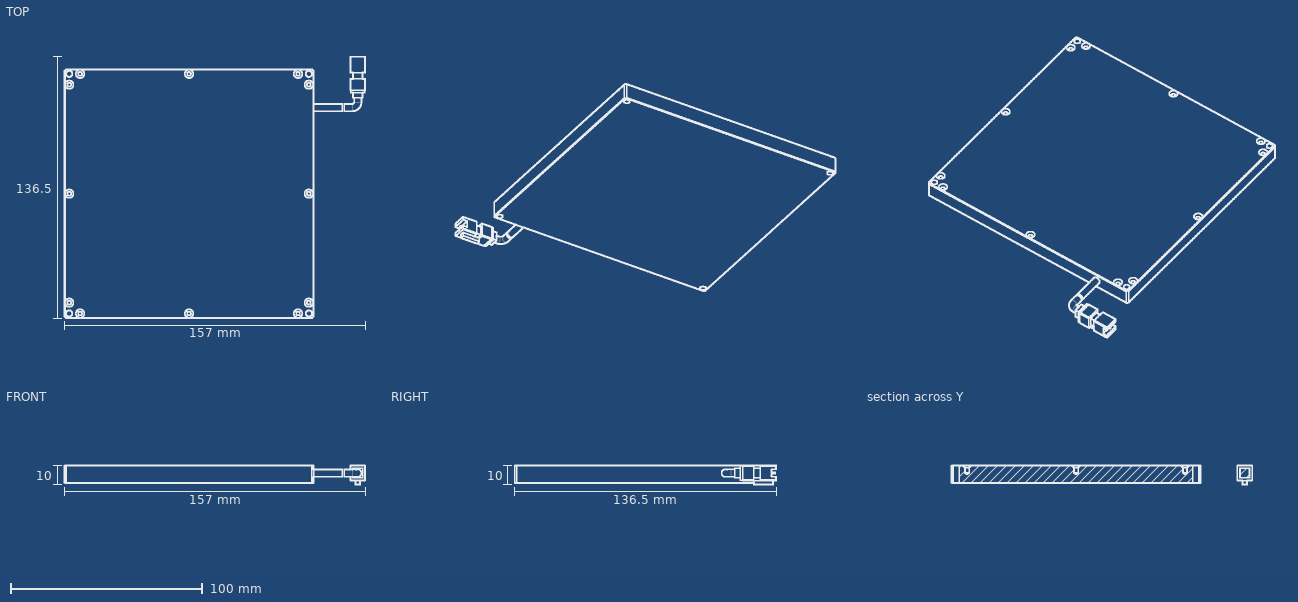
import cadquery as cq
import math

housing_size = 130.0
housing_height = 9.3
housing_half = housing_size / 2
corner_chamfer = 1.0
rim_bevel = 0.3

hole_inset = 2.5
mount_hole_diameter = 3.1
screw_corner_gap = 5.7
screw_hole_diameter = 2.0
screw_sink_diameter = 4.4
screw_sink_angle = 90
screw_hole_depth = 4.0
drill_point_angle = 118

overall_length = 157
overall_width = 136.5
overall_height = 10.0
connector_size = 8.0
connector_bevel = 0.4
connector_end_y = overall_width - housing_half
connector_axis_x = overall_length - housing_half - connector_size / 2
axis_z = housing_height - connector_size / 2

cable_diameter = 4.0
cable_y = 44.9
stub_length = 14.9
cable_gap = 1.0
bend_radius = 2.8

socket_length = 8.3
neck_length = 3.3
plug_length = 6.0
flange_length = 1.1
boot_length = 2.8
neck_size = 5.0
flange_size = 7.4
boot_size = 5.0

slot_depth = 2.4
slot_height = 3.8
pin_length = 1.7
pin_size = 0.8
latch_width = 2.5
latch_length = 10.0

socket_back_y = connector_end_y - socket_length
plug_front_y = socket_back_y - neck_length
plug_back_y = plug_front_y - plug_length
flange_back_y = plug_back_y - flange_length
boot_back_y = flange_back_y - boot_length


def connector_block(size, length, back_y):
    """Square block on the connector axis, running in +Y from back_y."""
    block = cq.Workplane("XY").box(size, length, size)
    return block.translate((connector_axis_x, back_y + length / 2, axis_z))


def screw_hole_cutter():
    """Countersunk blind hole with a drill point, its mouth centred on the origin."""
    sink_radius = screw_sink_diameter / 2
    hole_radius = screw_hole_diameter / 2
    sink_depth = (sink_radius - hole_radius) / math.tan(math.radians(screw_sink_angle / 2))
    point_depth = hole_radius / math.tan(math.radians(drill_point_angle / 2))
    profile = [
        (0, 0),
        (sink_radius, 0),
        (hole_radius, -sink_depth),
        (hole_radius, -screw_hole_depth),
        (0, -screw_hole_depth - point_depth),
    ]
    return cq.Workplane("XZ").polyline(profile).close().revolve(360, (0, 0), (0, 1))


def screw_positions():
    """Two screws beside each corner and one in the middle of each side."""
    rim = housing_half - hole_inset
    near_corner = rim - screw_corner_gap
    positions = []
    for side in (-rim, rim):
        for along in (-near_corner, 0, near_corner):
            positions.append((side, along))
            positions.append((along, side))
    return positions


def make_housing():
    body = cq.Workplane("XY").box(housing_size, housing_size, housing_height, centered=(True, True, False))
    body = body.faces("<Z or >Z").edges().chamfer(rim_bevel)

    corner_cut = cq.Workplane("XY").rect(housing_size, housing_size).extrude(housing_height)
    body = body.intersect(corner_cut.edges("|Z").chamfer(corner_chamfer))

    hole_pitch = housing_size - 2 * hole_inset
    mount_holes = cq.Workplane("XY").rect(hole_pitch, hole_pitch, forConstruction=True).vertices()
    body = body.cut(mount_holes.circle(mount_hole_diameter / 2).extrude(housing_height))

    cutter = screw_hole_cutter()
    for x, y in screw_positions():
        body = body.cut(cutter.translate((x, y, housing_height)))
    return body


def make_cable_stub():
    start = cq.Workplane("YZ", origin=(housing_half, cable_y, axis_z))
    return start.circle(cable_diameter / 2).extrude(stub_length)


def make_bent_cable():
    start_x = housing_half + stub_length + cable_gap
    bend_middle = bend_radius * math.sqrt(0.5)
    bend_centre = (connector_axis_x - bend_radius, cable_y + bend_radius)
    path = (
        cq.Workplane("XY", origin=(0, 0, axis_z))
        .moveTo(start_x, cable_y)
        .lineTo(bend_centre[0], cable_y)
        .threePointArc(
            (bend_centre[0] + bend_middle, bend_centre[1] - bend_middle),
            (connector_axis_x, bend_centre[1]),
        )
        .lineTo(connector_axis_x, boot_back_y)
    )
    section = cq.Workplane("YZ", origin=(start_x, cable_y, axis_z)).circle(cable_diameter / 2)
    return section.sweep(path)


def make_plug():
    body = connector_block(connector_size, plug_length, plug_back_y).edges("|Y").chamfer(connector_bevel)
    flange = connector_block(flange_size, flange_length, flange_back_y)
    boot = connector_block(boot_size, boot_length, boot_back_y)
    return body.union(flange).union(boot)


def make_socket():
    body = connector_block(connector_size, socket_length, socket_back_y).edges("|Y").chamfer(connector_bevel)
    slot = cq.Workplane("XY").box(connector_size, slot_depth, slot_height)
    slot_floor_y = connector_end_y - slot_depth
    body = body.cut(slot.translate((connector_axis_x, slot_floor_y + slot_depth / 2, axis_z)))
    body = body.union(connector_block(pin_size, pin_length, slot_floor_y))
    body = body.union(connector_block(neck_size, neck_length, plug_front_y))

    latch_height = overall_height - connector_size
    latch = cq.Workplane("XY").box(latch_width, latch_length, latch_height)
    latch_z = housing_height - connector_size - latch_height / 2
    return body.union(latch.translate((connector_axis_x, plug_front_y + latch_length / 2, latch_z)))


housing = make_housing()
cable_stub = make_cable_stub()
bent_cable = make_bent_cable()
plug = make_plug()
socket = make_socket()

result = cq.Compound.makeCompound(
    [housing.val(), cable_stub.val(), bent_cable.val(), plug.val(), socket.val()]
)